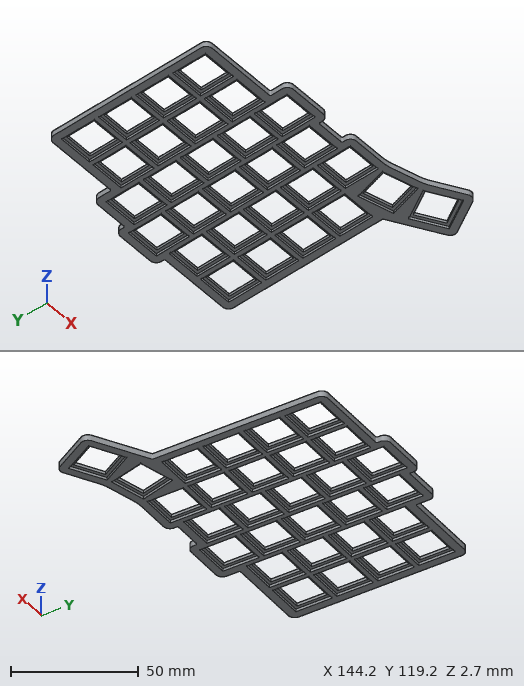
import cadquery as cq
import math

overall_length = 144.2
column_span = 95.3
column_count = 6
key_opening = 14.0
side_margin = 5.0
outer_column_rim = 5.3
plate_thickness = 2.7
corner_radius = 3.0
notch_radius = 0.6
bend_radius = 20.2
clip_thickness = 1.5
recess_margin = 1.5
thumb_step = 15.0

pitch = column_span / (column_count - 1)
half_opening = key_opening / 2
reach = half_opening + side_margin
outer_reach = half_opening + outer_column_rim
thumb_column = 4
outer_stagger = pitch / 2
middle_stagger = pitch / 4
thumb_angles = (thumb_step, 2 * thumb_step)

columns = [
    (outer_stagger, 4),
    (outer_stagger, 4),
    (0, 5),
    (middle_stagger, 5),
    (0, 5),
    (pitch, 4),
]


def column_x(column):
    return (column - thumb_column) * pitch


def top_key_y(column):
    lowest_y, key_count = columns[column]
    return lowest_y + (key_count - 1) * pitch


left_x = column_x(0) - reach
last_angle = thumb_angles[-1]
last_tilt = math.radians(last_angle)
corner_centre_offset = reach - corner_radius
thumb_end = corner_centre_offset * (math.cos(last_tilt) + math.sin(last_tilt)) + corner_radius
thumb_arc_radius = (left_x + overall_length - thumb_end) / math.sin(last_tilt)


def thumb_point(angle, across, outward):
    """Point given in the tilted frame of a thumb key, relative to the key centre."""
    tilt = math.radians(angle)
    radius = thumb_arc_radius + outward
    x = radius * math.sin(tilt) + across * math.cos(tilt)
    y = radius * math.cos(tilt) - across * math.sin(tilt) - thumb_arc_radius
    return x, y


index_left_x = column_x(2) - reach
index_right_x = column_x(2) + reach
middle_left_x = column_x(3) - reach
middle_right_x = column_x(3) + reach
ring_left_x = column_x(thumb_column) - reach
right_x = column_x(column_count - 1) + reach
outer_bottom_y = outer_stagger - outer_reach
outer_top_y = top_key_y(0) + outer_reach
index_top_y = top_key_y(2) + reach
middle_top_y = top_key_y(3) + reach
middle_bottom_y = middle_stagger - reach

thumb_top_corner = thumb_point(last_angle, reach, reach)
thumb_bottom_corner = thumb_point(last_angle, reach, -reach)
thumb_slope = math.tan(last_tilt)
thumb_join_y = thumb_top_corner[1] + (thumb_top_corner[0] - right_x) * thumb_slope

bend_offset = (thumb_arc_radius - reach) * math.tan(math.radians(thumb_step / 2))
lower_bends = [thumb_point(angle, -bend_offset, -reach) for angle in reversed(thumb_angles)]

corners = [
    (left_x, outer_bottom_y, corner_radius),
    (left_x, outer_top_y, corner_radius),
    (index_left_x, outer_top_y, notch_radius),
    (index_left_x, index_top_y, corner_radius),
    (middle_left_x, index_top_y, notch_radius),
    (middle_left_x, middle_top_y, corner_radius),
    (middle_right_x, middle_top_y, corner_radius),
    (middle_right_x, index_top_y, notch_radius),
    (right_x, index_top_y, corner_radius),
    (right_x, thumb_join_y, notch_radius),
    (*thumb_top_corner, corner_radius),
    (*thumb_bottom_corner, corner_radius),
    *[(x, y, bend_radius) for x, y in lower_bends],
    (ring_left_x, -reach, corner_radius),
    (ring_left_x, middle_bottom_y, notch_radius),
    (index_right_x, middle_bottom_y, notch_radius),
    (index_right_x, -reach, corner_radius),
    (index_left_x, -reach, corner_radius),
    (index_left_x, outer_bottom_y, notch_radius),
]
outline = [(x, y) for x, y, _ in corners]
plate = cq.Workplane("XY").polyline(outline).close().extrude(plate_thickness)
for x, y, radius in corners:
    corner_edge = cq.selectors.NearestToPointSelector((x, y, plate_thickness / 2))
    plate = plate.edges("|Z").edges(corner_edge).fillet(radius)


def switch_cutter():
    """Square through opening at the origin with a wider recess on the underside."""
    recess_side = key_opening + 2 * recess_margin
    recess_depth = plate_thickness - clip_thickness
    opening = cq.Workplane("XY").rect(key_opening, key_opening).extrude(plate_thickness)
    recess = cq.Workplane("XY").rect(recess_side, recess_side).extrude(recess_depth)
    return opening.union(recess)


for column, (lowest_y, key_count) in enumerate(columns):
    for row in range(key_count):
        key_centre = (column_x(column), lowest_y + row * pitch)
        plate = plate.cut(switch_cutter().translate(key_centre))

for angle in thumb_angles:
    thumb_cutter = switch_cutter().rotate((0, 0, 0), (0, 0, 1), -angle)
    plate = plate.cut(thumb_cutter.translate(thumb_point(angle, 0, 0)))

result = plate